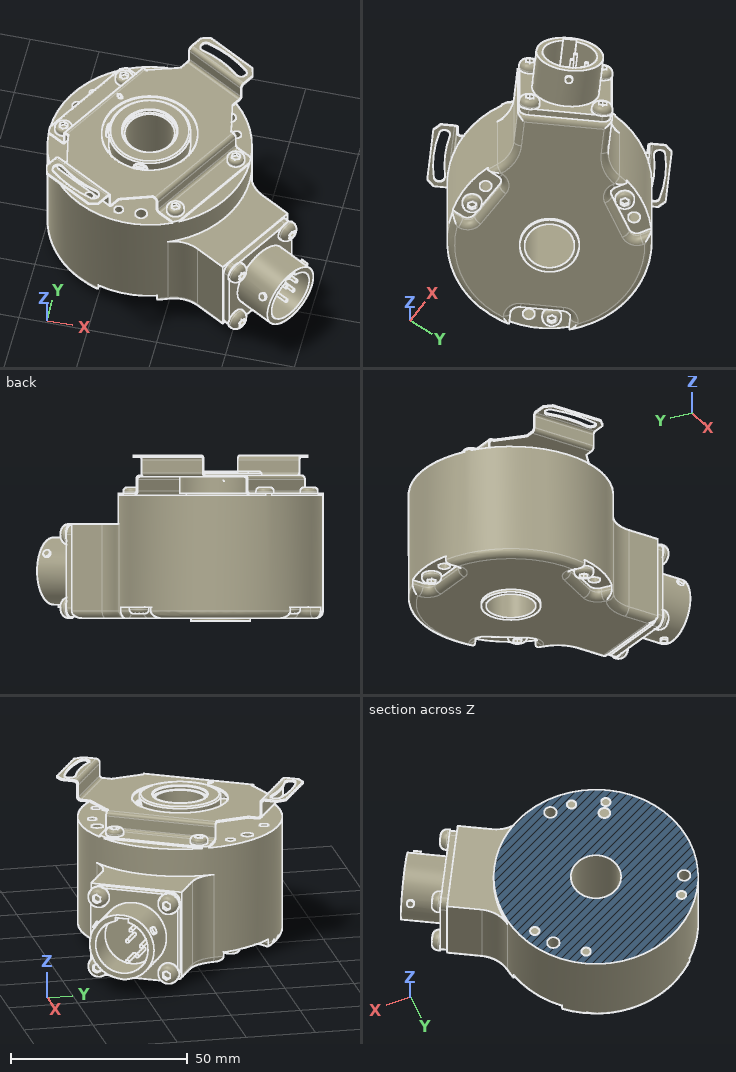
import cadquery as cq
import math

connector_turn = -30.0

body_radius = 29.0
body_height = 34.8
block_height = 26.7
block_end = 40.9
block_half_width = 13.4
block_blend_radius = 9.7
bottom_fillet = 2.1
bottom_boss_radius = 8.4
bottom_boss_height = 0.8

bore_radius = 7.05
mouth_radius = 7.7
mouth_depth = 1.2
hub_radius = 11.6
hub_top = 41.5
hub_chamfer = 0.5
hub_gap = 0.5
neck_radius = 9.7
mouth_chamfer = 0.25
set_screw_height = 38.45
set_screw_radius = 2.0
set_screw_reach = 12.4
set_screw_socket_radius = 1.1
set_screw_socket_depth = 1.0
set_screw_chamfer = 0.4
set_screw_angles = (180 - connector_turn, 270 - connector_turn)

pocket_angles = (60, 180, 300)
pocket_height = 3.15
pocket_back = 21.85
pocket_half_width = 8.5
pocket_corner_radius = 2.4
hole_circle_radius = 24.9
hole_offset_angle = 7.5
through_hole_radius = 1.7
tapped_hole_radius = 1.3
tapped_hole_depth = 6.5
locating_hole_radius = 1.6
locating_hole_distance = 21.3

sheet = 0.5
bend_radius = 1.0
plate_top = 40.5
ear_top = 46.1
plate_half_length = 16.2
strip_outer = 25.1
strip_wall = 18.2
ear_half_width = 10.0
ear_outer = 33.9
ear_wall = 27.45
ear_corner = 1.95
shoulder_x = 16.4
shoulder_y = 23.5
shoulder_radius = 1.6
plate_hole_radius = 13.6
ear_slot_radius = 31.3
ear_slot_width = 3.15
ear_slot_half_angle = 15.4
ear_slot_end_radius = 1.45
key_slot_distance = 15.95
key_slot_angle = 135 - connector_turn
key_slot_length = 2.0
key_slot_width = 1.05
strip_screw_angle = 30
strip_screw_distance = 25.0

screw_rim = 0.65
screw_socket_radius = 1.3
screw_socket_depth = 1.2
strip_screw_radius = 2.5
strip_screw_height = 1.8
bottom_screw_radius = 2.75
bottom_screw_height = 1.9
flange_screw_radius = 3.0
flange_screw_height = 2.6

axis_height = block_height / 2
flange_thickness = 2.0
flange_size = 25.9
flange_corner_radius = 2.5
flange_screw_offset = 10.4
shell_radius = 9.55
shell_inner_radius = 7.8
shell_end = 54.5
shell_wall_depth = 8.9
keyway_width = 3.8
keyway_depth = 0.8
bayonet_x = 51.8
bayonet_radius = 1.05
bayonet_reach = 10.2
bayonet_angles = (30, 150, 270)
contact_radius = 0.5
contact_recess = 2.3
contact_root = 0.5
contact_places = ((5.0, 0), (4.85, -38), (5.0, -80), (4.85, 67), (1.45, 50))


def cylinder(radius, z_low, z_high, x=0.0, y=0.0):
    return cq.Workplane("XY", origin=(x, y, z_low)).circle(radius).extrude(z_high - z_low)


def polar(distance, angle):
    a = math.radians(angle)
    return (distance * math.cos(a), distance * math.sin(a))


def button_screw(radius, height):
    """Domed head standing on Z = 0 with a hexagon socket."""
    head = cylinder(radius, 0, height).faces(">Z").edges().fillet(height - screw_rim)
    socket = cq.Workplane("XY", origin=(0, 0, height - screw_socket_depth))
    return head.cut(socket.polygon(6, 2 * screw_socket_radius).extrude(screw_socket_depth))


def bent_section(wall_outer, start, end, z_inner, z_outer):
    """Closed Z-shaped sheet profile; z_inner and z_outer are top faces of its two flats."""
    half = sheet / 2
    wall = wall_outer - half
    low = z_inner - half
    high = z_outer - half
    rise = math.copysign(bend_radius, high - low)
    path = (
        cq.Workplane("XZ")
        .moveTo(start, low)
        .lineTo(wall - bend_radius, low)
        .tangentArcPoint((wall, low + rise), relative=False)
        .lineTo(wall, high - rise)
        .tangentArcPoint((wall + bend_radius, high), relative=False)
        .lineTo(end, high)
    )
    return path.offset2D(half)


def make_housing():
    """Round body and connector block joined by tangent arcs, with screw pockets underneath."""
    blend_y = block_half_width + block_blend_radius
    blend_x = math.sqrt((body_radius + block_blend_radius) ** 2 - blend_y**2)
    share = body_radius / (body_radius + block_blend_radius)
    start = (blend_x * share, blend_y * share)
    start_angle = 180 + math.degrees(math.atan2(blend_y, blend_x))
    reach_x, reach_y = polar(block_blend_radius, (start_angle + 270) / 2)
    middle = (blend_x + reach_x, blend_y + reach_y)
    block = (
        cq.Workplane("XY")
        .lineTo(*start)
        .threePointArc(middle, (blend_x, block_half_width))
        .lineTo(block_end, block_half_width)
        .lineTo(block_end, -block_half_width)
        .lineTo(blend_x, -block_half_width)
        .threePointArc((middle[0], -middle[1]), (start[0], -start[1]))
        .close()
        .extrude(block_height)
    )
    housing = cylinder(body_radius, 0, body_height).union(block)
    pocket = (
        cq.Workplane("XY")
        .box(body_radius, 2 * pocket_half_width, pocket_height, centered=(False, True, False))
        .edges("|Z and <X")
        .fillet(pocket_corner_radius)
        .translate((pocket_back, 0, 0))
    )
    for angle in pocket_angles:
        housing = housing.cut(pocket.rotate((0, 0, 0), (0, 0, 1), angle))
    housing = housing.faces("<Z").edges().fillet(bottom_fillet)
    return housing.union(cylinder(bottom_boss_radius, -bottom_boss_height, bottom_fillet))


def drill_housing(housing):
    hole_floor = body_height - tapped_hole_depth
    for angle in pocket_angles:
        x, y = polar(hole_circle_radius, angle + hole_offset_angle)
        housing = housing.cut(cylinder(through_hole_radius, 0, body_height, x, y))
        x, y = polar(hole_circle_radius, angle - hole_offset_angle)
        housing = housing.cut(cylinder(tapped_hole_radius, hole_floor, body_height, x, y))
    for side in (1, -1):
        y = side * hole_circle_radius
        housing = housing.cut(cylinder(tapped_hole_radius, hole_floor, body_height, 0, y))
    return housing.cut(cylinder(locating_hole_radius, hole_floor, body_height, 0, -locating_hole_distance))


def make_hub():
    """Clamping hub held just above the housing by a narrower neck, with two set screws."""
    hub = cylinder(hub_radius, body_height + hub_gap, hub_top).faces(">Z").edges().chamfer(hub_chamfer)
    hub = hub.union(cylinder(neck_radius, body_height, body_height + hub_gap))
    for angle in set_screw_angles:
        screw = (
            cq.Workplane("YZ", origin=(mouth_radius, 0, set_screw_height))
            .circle(set_screw_radius)
            .extrude(set_screw_reach - mouth_radius)
            .faces(">X")
            .chamfer(set_screw_chamfer)
            .faces(">X")
            .workplane()
            .polygon(6, 2 * set_screw_socket_radius)
            .cutBlind(-set_screw_socket_depth)
        )
        hub = hub.union(screw.rotate((0, 0, 0), (0, 0, 1), angle))
    return hub


def make_bore():
    """Through bore with a shallow wider mouth whose rim is bevelled."""
    shoulder = hub_top - mouth_depth
    section = (
        cq.Workplane("XZ")
        .moveTo(0, -bottom_boss_height)
        .lineTo(bore_radius, -bottom_boss_height)
        .lineTo(bore_radius, shoulder)
        .lineTo(mouth_radius, shoulder)
        .lineTo(mouth_radius, hub_top - mouth_chamfer)
        .lineTo(mouth_radius + mouth_chamfer, hub_top)
        .lineTo(0, hub_top)
        .close()
    )
    return section.revolve(360, (0, 0, 0), (0, 1, 0))


def bracket_outline():
    """Plan shape of the bracket, as a prism as tall as the bent sheet."""
    quarter = [
        (strip_outer, plate_half_length),
        (shoulder_x, plate_half_length),
        (ear_half_width, shoulder_y),
        (ear_half_width, ear_outer - ear_corner),
        (ear_half_width - ear_corner, ear_outer),
    ]
    mirrored = [(-x, y) for x, y in reversed(quarter)]
    upper = quarter + mirrored
    lower = [(-x, -y) for x, y in upper]
    outline = cq.Workplane("XY", origin=(0, 0, body_height)).polyline(upper + lower).close()
    prism = outline.extrude(ear_top - body_height)
    for x in (shoulder_x, -shoulder_x):
        for y in (plate_half_length, -plate_half_length):
            corner = cq.selectors.NearestToPointSelector((x, y, (body_height + ear_top) / 2))
            prism = prism.edges(corner).fillet(shoulder_radius)
    return prism


def ear_slot():
    """Curved slot concentric with the shaft, rounded at both ends."""
    inner = ear_slot_radius - ear_slot_width / 2
    outer = ear_slot_radius + ear_slot_width / 2
    first = 90 + ear_slot_half_angle
    last = 90 - ear_slot_half_angle
    slot = (
        cq.Workplane("XY", origin=(0, 0, plate_top))
        .moveTo(*polar(inner, first))
        .threePointArc((0, inner), polar(inner, last))
        .lineTo(*polar(outer, last))
        .threePointArc((0, outer), polar(outer, first))
        .close()
        .extrude(2 * (ear_top - plate_top))
    )
    return slot.edges("|Z").fillet(ear_slot_end_radius)


def make_bracket():
    """Raised plate with two strips bent down to the housing and two slotted ears bent up."""
    outline = bracket_outline()
    overlap = 2 * bend_radius
    plate = cq.Workplane("XY", origin=(0, 0, plate_top - sheet)).rect(
        2 * (strip_wall - overlap), 2 * (ear_wall - overlap)
    ).extrude(sheet)
    strip = bent_section(
        strip_wall, strip_wall - 2 * overlap, strip_outer + sheet, plate_top, body_height + sheet
    ).extrude(plate_half_length, both=True)
    strip = strip.intersect(cylinder(body_radius, body_height, plate_top))
    ear = bent_section(
        ear_wall, ear_wall - 2 * overlap, ear_outer + sheet, plate_top, ear_top
    ).extrude(ear_half_width, both=True)
    sheet_metal = plate
    for turn in (0, 180):
        sheet_metal = sheet_metal.union(strip.rotate((0, 0, 0), (0, 0, 1), turn))
        sheet_metal = sheet_metal.union(ear.rotate((0, 0, 0), (0, 0, 1), turn + 90))
    bracket = sheet_metal.intersect(outline)
    for turn in (0, 180):
        bracket = bracket.cut(ear_slot().rotate((0, 0, 0), (0, 0, 1), turn))
    bracket = bracket.cut(cylinder(plate_hole_radius, plate_top - sheet, plate_top))
    key_slot = (
        cq.Workplane("XY", origin=(key_slot_distance, 0, plate_top - sheet))
        .slot2D(key_slot_length, key_slot_width)
        .extrude(sheet)
    )
    return bracket.cut(key_slot.rotate((0, 0, 0), (0, 0, 1), key_slot_angle))


def make_connector():
    """Flange, shell, contacts and bayonet pins around the X axis."""
    flange_face = block_end + flange_thickness
    flange = (
        cq.Workplane("YZ", origin=(block_end, 0, 0))
        .rect(flange_size, flange_size)
        .extrude(flange_thickness)
        .edges("|X")
        .fillet(flange_corner_radius)
    )
    shell = cq.Workplane("YZ", origin=(flange_face, 0, 0)).circle(shell_radius)
    connector = flange.union(shell.extrude(shell_end - flange_face))
    pin = cylinder(bayonet_radius, 0, bayonet_reach, bayonet_x, 0)
    for angle in bayonet_angles:
        connector = connector.union(pin.rotate((0, 0, 0), (1, 0, 0), angle - 90))
    floor = shell_end - shell_wall_depth
    cavity = cq.Workplane("YZ", origin=(floor, 0, 0)).circle(shell_inner_radius).extrude(shell_wall_depth)
    keyway_top = shell_inner_radius + keyway_depth
    keyway = cq.Workplane("XY").box(
        shell_wall_depth, keyway_width, keyway_top, centered=(False, True, False)
    ).translate((floor, 0, 0))
    connector = connector.cut(cavity.union(keyway))
    contact_length = shell_wall_depth - contact_recess
    contacts = cq.Workplane("YZ", origin=(floor - contact_root, 0, 0)).pushPoints(
        [polar(distance, angle) for distance, angle in contact_places]
    ).circle(contact_radius).extrude(contact_length + contact_root)
    connector = connector.union(contacts)
    screw = button_screw(flange_screw_radius, flange_screw_height).rotate((0, 0, 0), (0, 1, 0), 90)
    for y in (flange_screw_offset, -flange_screw_offset):
        for z in (flange_screw_offset, -flange_screw_offset):
            connector = connector.union(screw.translate((flange_face, y, z)))
    return connector.translate((0, 0, axis_height))


result = drill_housing(make_housing())
result = result.union(make_hub())
result = result.union(make_bracket())
result = result.union(make_connector())

strip_screw = button_screw(strip_screw_radius, strip_screw_height)
for base in (0, 180):
    for side in (1, -1):
        x, y = polar(strip_screw_distance, base + side * strip_screw_angle)
        result = result.union(strip_screw.translate((x, y, body_height + sheet)))

bottom_screw = button_screw(bottom_screw_radius, bottom_screw_height).rotate((0, 0, 0), (1, 0, 0), 180)
for angle in pocket_angles:
    x, y = polar(hole_circle_radius, angle - hole_offset_angle)
    result = result.union(bottom_screw.translate((x, y, pocket_height)))

result = result.cut(make_bore())
result = result.rotate((0, 0, 0), (0, 0, 1), connector_turn)